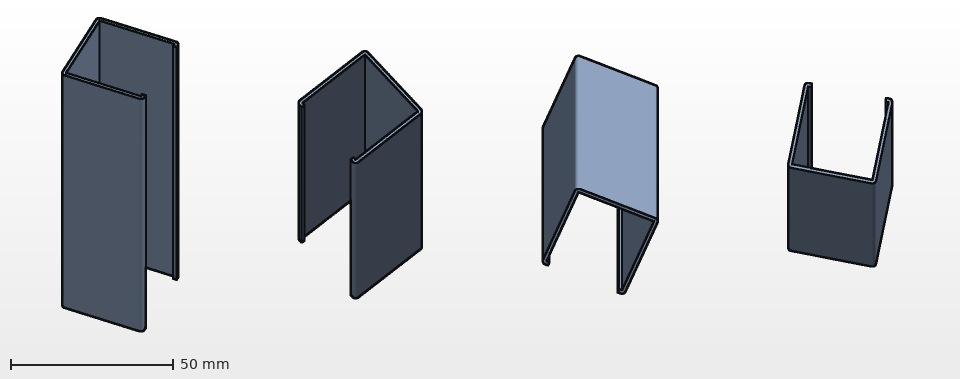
import cadquery as cq

length = 100.0
side = 27.6
wall = 1.2
corner_radius = 1.2
lip_depth = 2.2

half_side = side / 2
cavity_side = side - 2 * wall
opening_width = side - 2 * lip_depth

outer = cq.Workplane("XY").rect(side, side).extrude(length).edges("|Z").fillet(corner_radius)
cavity = cq.Workplane("XY").rect(cavity_side, cavity_side).extrude(length)

opening = cq.Workplane("XY").center(half_side, 0).rect(side, opening_width).extrude(length)

result = outer.cut(cavity).cut(opening)